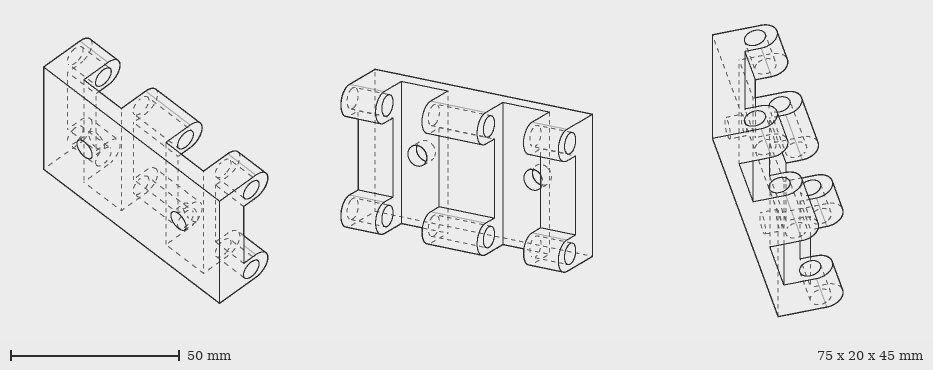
import cadquery as cq

length = 75.0
depth = 20.0
height = 45.0

web_depth = 10.0
knuckle_height = 10.0
knuckle_radius = knuckle_height / 2

end_knuckle_width = 12.0
notch_width = 16.0
notch_floor = 5.0

hole_diameter = 6.5
pin_hole_y = 13.1
mount_hole_spacing = 40.0


def make_profile():
    """C-shaped side section with rounded knuckle tips, extruded along X."""
    tip_center_y = depth - knuckle_radius
    lower_inner_z = knuckle_height
    upper_inner_z = height - knuckle_height
    return (
        cq.Workplane("YZ")
        .moveTo(0, 0)
        .lineTo(tip_center_y, 0)
        .threePointArc((depth, knuckle_radius), (tip_center_y, lower_inner_z))
        .lineTo(web_depth, lower_inner_z)
        .lineTo(web_depth, upper_inner_z)
        .lineTo(tip_center_y, upper_inner_z)
        .threePointArc((depth, height - knuckle_radius), (tip_center_y, height))
        .lineTo(0, height)
        .close()
        .extrude(length)
    )


def make_notch(start_x):
    """Full-height gap between neighbouring knuckles."""
    return (
        cq.Workplane("XY")
        .box(notch_width, depth - notch_floor, height, centered=False)
        .translate((start_x, notch_floor, 0))
    )


def make_pin_bore(center_z):
    """Hinge pin bore running along X through a whole knuckle row."""
    return (
        cq.Workplane("YZ")
        .center(pin_hole_y, center_z)
        .circle(hole_diameter / 2)
        .extrude(length)
    )


def make_mount_hole(center_x):
    """Mounting hole running along Y through the full depth."""
    return (
        cq.Workplane("XZ")
        .center(center_x, height / 2)
        .circle(hole_diameter / 2)
        .extrude(-depth)
    )


result = make_profile()

for notch_x in (end_knuckle_width, length - end_knuckle_width - notch_width):
    result = result.cut(make_notch(notch_x))

for bore_z in (knuckle_radius, height - knuckle_radius):
    result = result.cut(make_pin_bore(bore_z))

for side in (-1, 1):
    result = result.cut(make_mount_hole(length / 2 + side * mount_hole_spacing / 2))